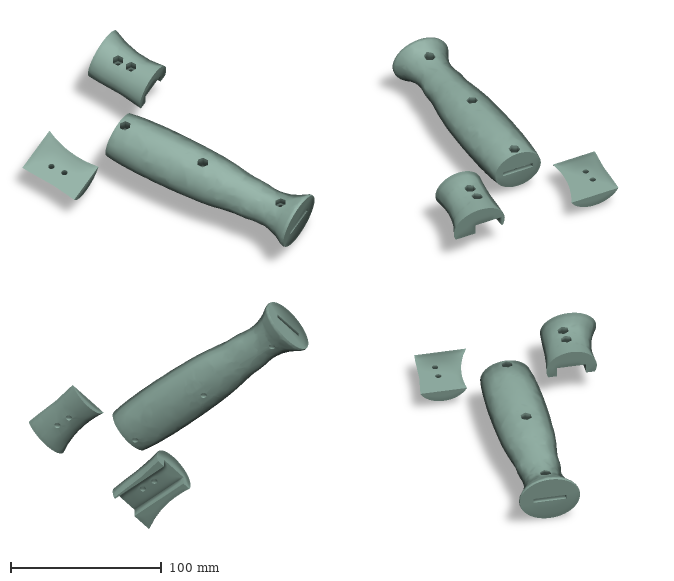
import cadquery as cq

total_length = 182.0
collar_length = 43.0
upper_guard_y = 45.0
lower_guard_y = -41.9

joint_half_y = 17.1
joint_half_z = 13.3

rim_start = 180.0
flare_half_y = 20.5
flare_half_z = 16.0
rim_rounding = 0.2
handle_sections = [
    (collar_length, joint_half_y, joint_half_z),
    (53.0, 18.4, 14.4),
    (66.8, 19.1, 15.1),
    (84.0, 19.3, 15.1),
    (105.2, 18.7, 14.5),
    (126.1, 16.7, 13.3),
    (143.6, 14.5, 11.5),
    (154.0, 13.6, 10.5),
    (160.9, 13.3, 10.4),
    (167.8, 14.7, 11.1),
    (174.9, 17.7, 13.6),
    (rim_start, flare_half_y, flare_half_z),
    (total_length, flare_half_y - rim_rounding, flare_half_z - rim_rounding),
]

guard_sections = [
    (0.0, 7.0, 19.1, 13.3),
    (11.1, 3.8, 17.1, 12.2),
    (21.7, 2.0, 16.0, 11.6),
    (32.0, 0.7, 16.0, 12.0),
    (collar_length, 0.0, joint_half_y, joint_half_z),
]
split_z = -5.1

blade_thickness = 3.1
tang_width = 22.2
guard_slot_width = 19.7

screw_diameter = 4.2
nut_corner_diameter = 7.8
nut_floor_z = 5.5
first_handle_screw_x = 48.0
handle_screw_pitch = 59.9
handle_screw_xs = [first_handle_screw_x + i * handle_screw_pitch for i in range(3)]
first_guard_screw_x = 16.0
guard_screw_pitch = 10.0
guard_screw_xs = [first_guard_screw_x + i * guard_screw_pitch for i in range(2)]

cut_reach = 54.6


def ellipse_wire(x, center_y, half_y, half_z):
    """Elliptical section standing across the X axis."""
    plane = cq.Plane(origin=(x, center_y, 0), xDir=(0, 1, 0), normal=(1, 0, 0))
    return cq.Workplane(plane).ellipse(half_y, half_z).val()


def loft_sections(wires):
    return cq.Workplane(obj=cq.Solid.makeLoft(wires))


def box_between(x_range, center_y, width, z_range):
    """Box given by its X and Z limits and its centre and width in Y."""
    return cq.Workplane("XY").box(
        x_range[1] - x_range[0], width, z_range[1] - z_range[0], centered=(False, True, False)
    ).translate((x_range[0], center_y, z_range[0]))


def screw_holes(xs, y):
    """Vertical round clearance holes."""
    points = [(x, y) for x in xs]
    return (
        cq.Workplane("XY").workplane(offset=-cut_reach / 2)
        .pushPoints(points).circle(screw_diameter / 2).extrude(cut_reach)
    )


def nut_pockets(xs, y):
    """Hexagonal pockets open at the top."""
    points = [(x, y) for x in xs]
    return (
        cq.Workplane("XY").workplane(offset=nut_floor_z)
        .pushPoints(points).polygon(6, nut_corner_diameter).extrude(cut_reach)
    )


def make_handle():
    grip = loft_sections([ellipse_wire(x, 0, half_y, half_z) for x, half_y, half_z in handle_sections])
    tang_slot = box_between(
        (collar_length, total_length), 0, tang_width, (-blade_thickness / 2, blade_thickness / 2)
    )
    return (
        grip.cut(tang_slot)
        .cut(screw_holes(handle_screw_xs, 0)).cut(nut_pockets(handle_screw_xs, 0))
    )


def guard_blank(screw_y):
    """Full oval guard before it is split into an upper or a lower piece."""
    return loft_sections([
        ellipse_wire(x, screw_y + shift, half_y, half_z) for x, shift, half_y, half_z in guard_sections
    ])


def make_upper_guard():
    lower_part = box_between((0, collar_length), upper_guard_y, 2 * cut_reach, (-cut_reach, split_z))
    blade_slot = box_between(
        (0, collar_length), upper_guard_y, guard_slot_width, (split_z, blade_thickness / 2)
    )
    return (
        guard_blank(upper_guard_y).cut(lower_part).cut(blade_slot)
        .cut(screw_holes(guard_screw_xs, upper_guard_y)).cut(nut_pockets(guard_screw_xs, upper_guard_y))
    )


def make_lower_guard():
    upper_part = box_between((0, collar_length), lower_guard_y, 2 * cut_reach, (split_z, cut_reach))
    return guard_blank(lower_guard_y).cut(upper_part).cut(screw_holes(guard_screw_xs, lower_guard_y))


handle = make_handle()
upper_guard = make_upper_guard()
lower_guard = make_lower_guard()

result = cq.Compound.makeCompound([handle.solids().val(), upper_guard.solids().val(), lower_guard.solids().val()])